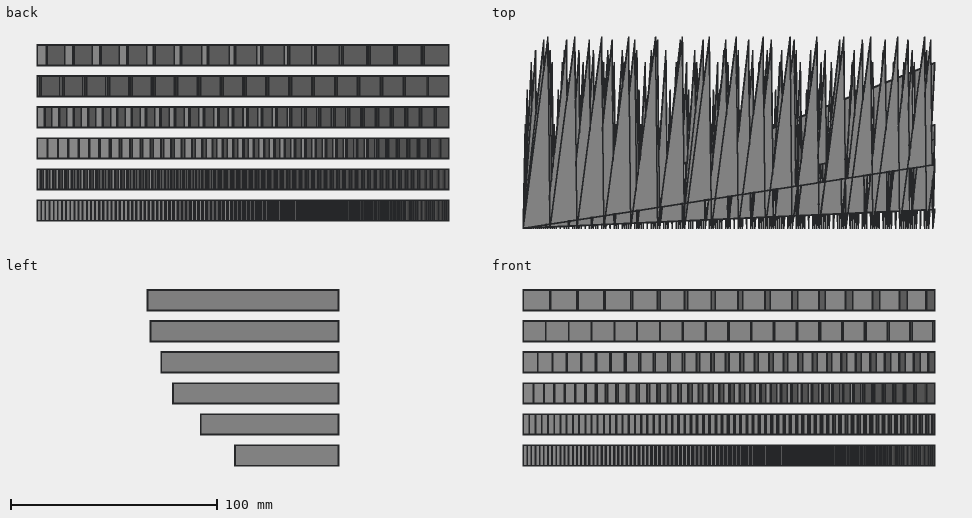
import cadquery as cq

total_length = 199.0
step_count = 199
rise_steps = 100
height_steps = 10
level_steps = 15
tooth_periods = [2, 3, 5, 7, 11, 13]
web_width = 0.1

step = total_length / step_count
full_rise = rise_steps * step
comb_height = height_steps * step
level_spacing = level_steps * step


def tooth_corners(period):
    """Corners of the tooth line: each flank rises slowly, then drops to zero over a single step."""
    corners = []
    for i in range(step_count + 1):
        phase = i % period
        if phase in (0, period - 1) or i == step_count:
            corners.append((i * step, full_rise * phase / period))
    return corners


def comb_edge(corners, web_end_y, side):
    """One long edge of a comb, without the point at the origin where both edges start.

    It follows the straight web edge from the origin to web_end_y at the far end, except where
    the tooth line goes beyond that edge: behind it for side = 1, in front of it for side = -1.
    """
    slope = web_end_y / total_length

    def beyond(corner):
        x, y = corner
        return side * (y - slope * x)

    points = []
    for start, end in zip(corners[:-1], corners[1:]):
        if beyond(start) * beyond(end) < 0:
            share = beyond(start) / (beyond(start) - beyond(end))
            crossing_x = start[0] + share * (end[0] - start[0])
            points.append((crossing_x, slope * crossing_x))
        if beyond(end) > 0:
            points.append(end)
    points.append((total_length, web_end_y))
    return points


def comb(period, level):
    """A plate with teeth behind and in front of a web that slopes to the end of the tooth line."""
    corners = tooth_corners(period)
    end_y = corners[-1][1]
    back_edge = comb_edge(corners, end_y + web_width / 2, 1)
    front_edge = comb_edge(corners, end_y - web_width / 2, -1)
    outline = [corners[0]] + back_edge + front_edge[::-1]
    plate = cq.Workplane("XY").workplane(offset=level * level_spacing)
    return plate.polyline(outline).close().extrude(comb_height)


combs = [comb(period, level) for level, period in enumerate(tooth_periods)]

result = cq.Compound.makeCompound([body.val() for body in combs])